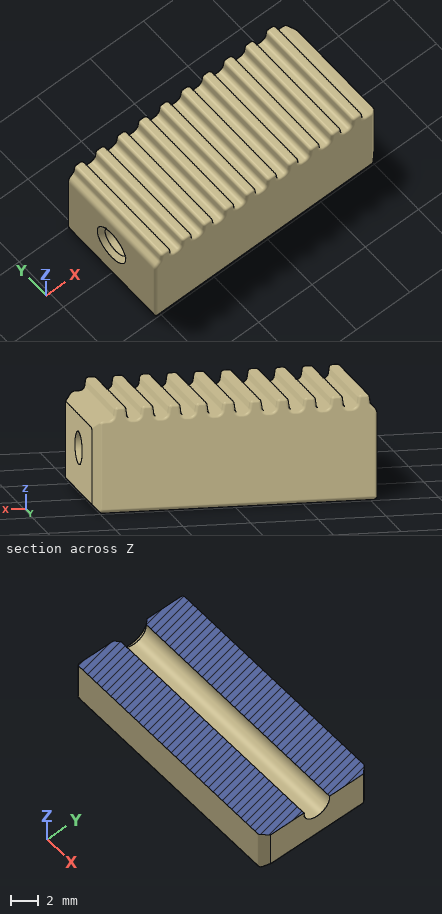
import cadquery as cq
import math

length = 21.0
width = 10.0
height = 7.9

tooth_count = 10
pitch = length / (tooth_count + 0.5)
tooth_depth = 0.99
crest_half_width = 0.4
flank_angle = math.radians(8)
crest_radius = 0.25
root_radius = 0.4

keel_chamfer = 0.23
shoulder_chamfer = 0.25
end_chamfer = 0.6
shoulder_radius = 0.63
edge_radius = 0.23
end_corner_radius = 0.17

hole_diameter = 2.4
countersink_diameter = 3.2
hole_height = 3.82

root_height = height - tooth_depth
root_half_width = crest_half_width + tooth_depth * math.tan(flank_angle)
tooth_centers = [(i + 0.5) * pitch for i in range(tooth_count)]

shoulder_rise = (tooth_centers[0] - root_half_width - shoulder_chamfer) / (1 - math.tan(flank_angle))
first_root = (shoulder_chamfer + shoulder_rise, root_height + shoulder_rise)
left_shoulder = (0, root_height - shoulder_chamfer)
right_shoulder = (length - end_chamfer, root_height)
left_keel = (0, keel_chamfer)
right_keel = (length - end_chamfer, 0)


def tooth_corners(half_width, level):
    """Left and right corner of every tooth at one level, from left to right."""
    return [(center + side * half_width, level) for center in tooth_centers for side in (-1, 1)]


crests = tooth_corners(crest_half_width, height)
roots = tooth_corners(root_half_width, root_height)
roots[0] = first_root


def sharp_body():
    """Block with sharp trapezoidal teeth, extruded symmetrically about Y = 0."""
    points = [left_shoulder]
    for left in range(0, 2 * tooth_count, 2):
        right = left + 1
        points += [roots[left], crests[left], crests[right], roots[right]]
    points += [
        right_shoulder,
        (length, root_height - end_chamfer),
        (length, end_chamfer),
        right_keel,
        (keel_chamfer, 0),
        left_keel,
    ]
    return cq.Workplane("XZ").polyline(points).close().extrude(width / 2, both=True)


def edges_along_y(body, corners):
    """Edges parallel to Y whose (x, z) position is one of the given corners."""
    tolerance = 0.002

    def is_wanted(edge):
        middle = edge.Center()
        return any(math.hypot(middle.x - x, middle.z - z) < tolerance for x, z in corners)

    return body.edges("|Y").filter(is_wanted)


def chamfer_keel_sides(body):
    """45 degree chamfers where the bottom meets the two sides."""
    y = width / 2
    leg = keel_chamfer
    wedge = cq.Workplane("YZ").polyline([(y, leg), (y, 0), (y - leg, 0)]).close().extrude(length)
    return body.cut(wedge).cut(wedge.mirror("XZ"))


def chamfer_end_sides(body):
    """45 degree chamfers where the right end meets the two sides, with softened corners."""
    y = width / 2
    start = length - end_chamfer
    corners = [(start, y), (length, y), (length, y - end_chamfer)]
    wedge = cq.Workplane("XY").polyline(corners).close().extrude(height)
    body = body.cut(wedge).cut(wedge.mirror("XZ"))
    tolerance = 0.005
    upright = body.edges("|Z").filter(lambda edge: abs(edge.Center().x - start) < tolerance)
    return upright.fillet(end_corner_radius)


def round_side_outlines(body):
    """Fillets along both side outlines, the bottom edges and the left keel."""
    edges = body.faces("<Y or >Y").edges().vals()
    edges += edges_along_y(body, [left_keel]).vals()
    edges += body.faces("<Z").edges("not >X").vals()
    return body.newObject(edges).fillet(edge_radius)


def countersunk_hole():
    """Through hole along X, with a 45 degree countersink at the left end."""
    axis_start = cq.Workplane("YZ").center(0, hole_height)
    sink_depth = (countersink_diameter - hole_diameter) / 2
    bore = axis_start.circle(hole_diameter / 2).extrude(length)
    sink = axis_start.circle(countersink_diameter / 2).extrude(sink_depth, taper=45)
    return bore.union(sink)


body = sharp_body()
body = edges_along_y(body, crests).fillet(crest_radius)
body = edges_along_y(body, roots).fillet(root_radius)
body = edges_along_y(body, [left_shoulder, right_shoulder]).fillet(shoulder_radius)
body = edges_along_y(body, [right_keel]).fillet(edge_radius)
body = chamfer_keel_sides(body)
body = round_side_outlines(body)
body = chamfer_end_sides(body)
result = body.cut(countersunk_hole())